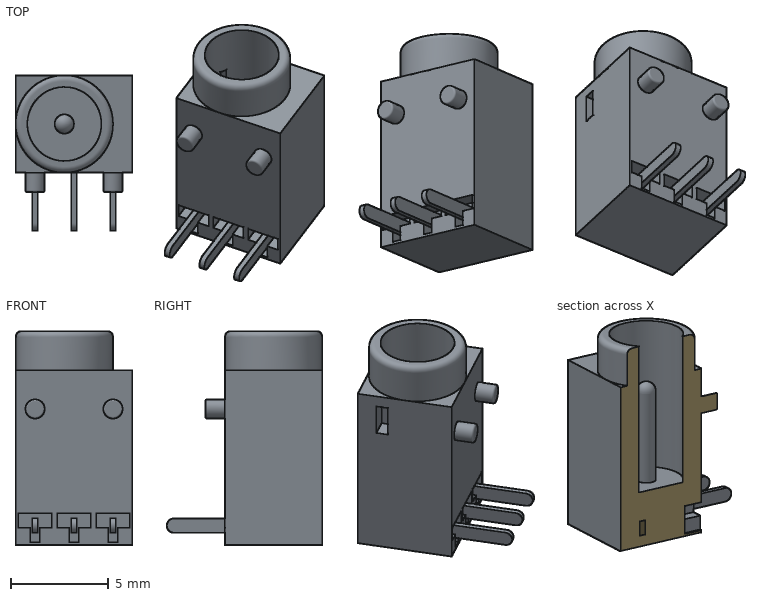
import cadquery as cq

block_width = 6.0
block_depth = 5.0
block_height = 9.0

total_height = 11.0
collar_radius = block_depth / 2
collar_round = 0.3
socket_x = collar_radius
socket_y = block_depth / 2
socket_radius = 1.9
socket_depth = 8.0
socket_floor_z = total_height - socket_depth

window_depth = 1.0
window_width = 0.6
window_height = 1.6
window_back_wall = 1.0
window_back_y = block_depth - window_back_wall
window_bottom_z = 6.8

pitch = 2.0
middle_x = block_width / 2
outer_places = [middle_x - pitch, middle_x + pitch]
all_places = [*outer_places, middle_x]

peg_radius = 0.5
peg_length = 1.0
peg_round = 0.1
peg_z = 7.0

terminal_thickness = 0.3
terminal_height = 0.75
terminal_z = 1.0
terminal_reach = 2.99
tip_radius = terminal_height / 2

opening_depth = 1.0
bar_width = 1.73
stem_width = 0.5
stem_bottom_z = 0.14
bar_bottom_z = 0.9
bar_top_z = 1.65

post_radius = 0.5
post_tip_z = 8.36
post_bottom_z = terminal_z - tip_radius

strip_gap = 0.5
strip_front_y = socket_y + post_radius + strip_gap
strip_back_y = strip_front_y + terminal_thickness


def make_box(x_range, y_range, z_range):
    """Box between two limits along each axis."""
    corner = (x_range[0], y_range[0], z_range[0])
    size = [limits[1] - limits[0] for limits in (x_range, y_range, z_range)]
    return cq.Workplane("XY").box(*size, centered=False).translate(corner)


def span(center, width):
    """Limits of a width centred on a place."""
    return (center - width / 2, center + width / 2)


def make_collar():
    collar = cq.Workplane("XY", origin=(socket_x, socket_y, block_height))
    collar = collar.circle(collar_radius).extrude(total_height - block_height)
    return collar.faces(">Z").edges().fillet(collar_round)


def make_socket():
    socket = cq.Workplane("XY", origin=(socket_x, socket_y, socket_floor_z))
    return socket.circle(socket_radius).extrude(socket_depth)


def make_window():
    return make_box(
        (0, window_depth),
        (window_back_y - window_width, window_back_y),
        (window_bottom_z, window_bottom_z + window_height),
    )


def make_peg(x):
    peg = cq.Workplane("XZ", origin=(x, 0, peg_z)).circle(peg_radius).extrude(peg_length)
    return peg.faces("<Y").edges().fillet(peg_round)


def make_opening(x):
    bar = make_box(span(x, bar_width), (0, opening_depth), (bar_bottom_z, bar_top_z))
    stem = make_box(span(x, stem_width), (0, opening_depth), (stem_bottom_z, bar_bottom_z))
    return bar.union(stem)


def make_terminal(x, back_y):
    """Flat terminal from its rounded tip in front of the block to back_y inside it."""
    tip_center_y = tip_radius - terminal_reach
    blade = (
        cq.Workplane("YZ", origin=(x - terminal_thickness / 2, 0, terminal_z))
        .moveTo(back_y, tip_radius)
        .lineTo(tip_center_y, tip_radius)
        .threePointArc((-terminal_reach, 0), (tip_center_y, -tip_radius))
        .lineTo(back_y, -tip_radius)
        .close()
    )
    return blade.extrude(terminal_thickness)


def make_center_contact():
    """Domed post standing on the inner end of the middle terminal."""
    dome_center_z = post_tip_z - post_radius
    post = cq.Workplane("XY", origin=(socket_x, socket_y, post_bottom_z))
    post = post.circle(post_radius).extrude(dome_center_z - post_bottom_z)
    dome = cq.Workplane("XY", origin=(socket_x, socket_y, dome_center_z)).sphere(post_radius)
    return post.union(dome).union(make_terminal(middle_x, socket_y))


def make_sleeve_contact():
    """Two outer terminals joined by the cross strip."""
    left_x, right_x = outer_places
    contact = make_box(
        (left_x - terminal_thickness / 2, right_x + terminal_thickness / 2),
        (strip_front_y, strip_back_y),
        span(terminal_z, terminal_height),
    )
    for x in outer_places:
        contact = contact.union(make_terminal(x, strip_back_y))
    return contact


def make_housing(contacts):
    """Block with collar, socket, window, pegs and openings, and a matching seat for each contact."""
    housing = make_box((0, block_width), (0, block_depth), (0, block_height))
    housing = housing.union(make_collar()).cut(make_socket()).cut(make_window())
    for x in outer_places:
        housing = housing.union(make_peg(x))
    for x in all_places:
        housing = housing.cut(make_opening(x))
    for contact in contacts:
        housing = housing.cut(contact)
    return housing


center_contact = make_center_contact()
sleeve_contact = make_sleeve_contact()
housing = make_housing([center_contact, sleeve_contact])

bodies = [housing, center_contact, sleeve_contact]
result = cq.Compound.makeCompound([body.solids().val() for body in bodies])